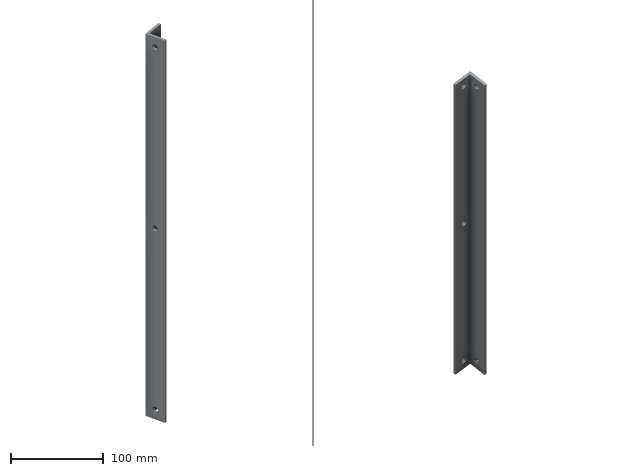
import cadquery as cq

LEG_WIDTH = 25.4
THICKNESS = 3.175
LENGTH = 492.125

HOLE_DIAMETER = 6.76
HOLE_END_DISTANCE = 12.7
LEG_CENTRE = LEG_WIDTH / 2
LOWER_HOLE_Z = HOLE_END_DISTANCE
MIDDLE_HOLE_Z = LENGTH / 2
UPPER_HOLE_Z = LENGTH - HOLE_END_DISTANCE

FRONT_LEG_HOLES_Z = [LOWER_HOLE_Z, MIDDLE_HOLE_Z, UPPER_HOLE_Z]
SIDE_LEG_HOLES_Z = [LOWER_HOLE_Z, UPPER_HOLE_Z]


def make_angle():
    """L-shaped section extruded along Z, with legs along +X and +Y."""
    section = [
        (0, 0),
        (LEG_WIDTH, 0),
        (LEG_WIDTH, THICKNESS),
        (THICKNESS, THICKNESS),
        (THICKNESS, LEG_WIDTH),
        (0, LEG_WIDTH),
    ]
    return cq.Workplane("XY").polyline(section).close().extrude(LENGTH)


def make_hole(start, direction):
    """Cylinder that passes through one leg, from its outer face to its inner face."""
    return cq.Workplane(
        cq.Solid.makeCylinder(HOLE_DIAMETER / 2, THICKNESS, cq.Vector(*start), cq.Vector(*direction))
    )


result = make_angle()

for hole_z in FRONT_LEG_HOLES_Z:
    result = result.cut(make_hole((LEG_CENTRE, 0, hole_z), (0, 1, 0)))

for hole_z in SIDE_LEG_HOLES_Z:
    result = result.cut(make_hole((0, LEG_CENTRE, hole_z), (1, 0, 0)))